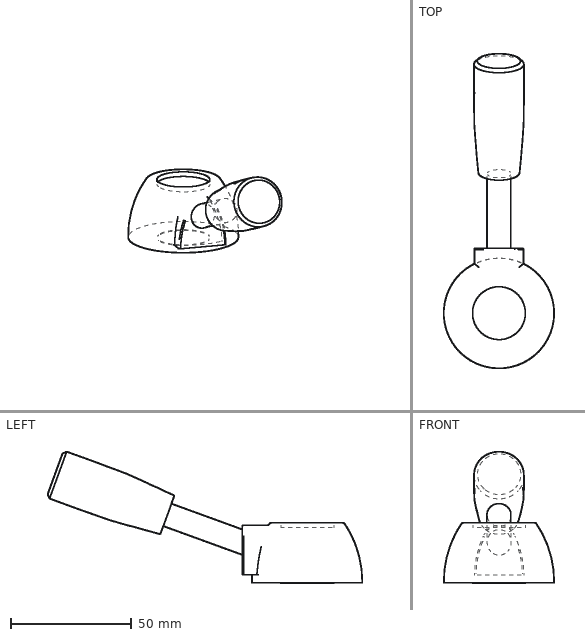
import math

import cadquery as cq

hub_radius = 23.0
hub_height = 25.0
hub_rim_height = 0.4
hub_top_radius = 15.3
hub_top_round = 1.0
foot_radius = 11.0
foot_height = 0.3
pocket_radius = 11.0
pocket_depth = 2.0

neck_face_y = 27.0
neck_bottom_z = 3.3
neck_top_z = 24.0
neck_half_width = 10.25
neck_side_radius = 37.0
neck_shoulder_z = 19.4
neck_edge_round = 0.6
neck_root_round = 0.7

tilt_angle = 20.0
axis_height_at_hub = 7.07
rod_radius = 5.0
grip_start = 61.8
grip_parting = 83.5
grip_end = 111.55
grip_start_radius = 8.6
grip_parting_radius = 10.3
grip_end_radius = 10.4
grip_bulge = 0.1
grip_start_round = 0.6
grip_end_chamfer = 1.4
rod_depth_in_grip = 5.0


def make_hub():
    """Revolve the dome; its flank is an arc that leaves the rim vertically."""
    rise = hub_height - hub_rim_height
    inset = hub_radius - hub_top_radius
    flank_radius = (rise**2 + inset**2) / (2 * inset)
    half_angle = math.asin(rise / flank_radius) / 2
    flank_middle = (
        hub_radius - flank_radius * (1 - math.cos(half_angle)),
        hub_rim_height + flank_radius * math.sin(half_angle),
    )
    profile = (
        cq.Workplane("XZ")
        .lineTo(hub_radius, 0)
        .lineTo(hub_radius, hub_rim_height)
        .threePointArc(flank_middle, (hub_top_radius, hub_height))
        .lineTo(0, hub_height)
        .close()
    )
    return profile.revolve(360, (0, 0, 0), (0, 1, 0))


def make_neck():
    """Extrude the arched outline from the hub axis to the flat outer face."""
    shoulder_rise = neck_shoulder_z - neck_bottom_z
    side_inset = neck_side_radius - math.sqrt(neck_side_radius**2 - shoulder_rise**2)
    half_angle = math.asin(shoulder_rise / neck_side_radius) / 2
    shoulder_x = neck_half_width - side_inset
    middle_x = neck_half_width - neck_side_radius * (1 - math.cos(half_angle))
    middle_z = neck_bottom_z + neck_side_radius * math.sin(half_angle)
    outline = (
        cq.Workplane("XZ")
        .moveTo(-neck_half_width, neck_bottom_z)
        .lineTo(neck_half_width, neck_bottom_z)
        .threePointArc((middle_x, middle_z), (shoulder_x, neck_shoulder_z))
        .threePointArc((0, neck_top_z), (-shoulder_x, neck_shoulder_z))
        .threePointArc((-middle_x, middle_z), (-neck_half_width, neck_bottom_z))
        .close()
    )
    return outline.extrude(-neck_face_y).faces(">Y").edges().fillet(neck_edge_round)


def round_neck_root(body):
    """Fillet the seam where the sides and arch of the neck meet the dome."""
    seam_box = cq.selectors.BoxSelector(
        (-neck_half_width, hub_top_radius / 2, neck_bottom_z + neck_root_round),
        (neck_half_width, hub_radius, neck_top_z),
    )
    return body.edges(seam_box).edges("not(#Z or |Y)").fillet(neck_root_round)


def along_axis(shape):
    """Turn a shape built along Z onto the tilted rod axis."""
    turned = shape.rotate((0, 0, 0), (1, 0, 0), tilt_angle - 90)
    return turned.translate((0, 0, axis_height_at_hub))


def make_rod():
    """Make the rod from inside the neck to a short way inside the grip."""
    start = neck_face_y / 2
    rod = cq.Workplane("XY").workplane(offset=start).circle(rod_radius)
    return along_axis(rod.extrude(grip_start - start + rod_depth_in_grip))


def make_grip():
    """Revolve the grip: a tapered front part and a nearly straight barrel, both slightly bulged."""
    taper_middle = (
        (grip_start_radius + grip_parting_radius) / 2 + grip_bulge,
        (grip_start + grip_parting) / 2,
    )
    barrel_middle = (
        (grip_parting_radius + grip_end_radius) / 2 + grip_bulge,
        (grip_parting + grip_end) / 2,
    )
    profile = (
        cq.Workplane("XZ")
        .moveTo(0, grip_start)
        .lineTo(grip_start_radius, grip_start)
        .threePointArc(taper_middle, (grip_parting_radius, grip_parting))
        .threePointArc(barrel_middle, (grip_end_radius, grip_end))
        .lineTo(0, grip_end)
        .close()
    )
    grip = profile.revolve(360, (0, 0, 0), (0, 1, 0))
    grip = grip.faces("<Z").edges().fillet(grip_start_round)
    return along_axis(grip.faces(">Z").edges().chamfer(grip_end_chamfer))


def make_foot():
    return cq.Workplane("XY").circle(foot_radius).extrude(-foot_height)


def make_pocket():
    """Make the round recess sunk into the flat top of the hub."""
    top = cq.Workplane("XY").workplane(offset=hub_height)
    return top.circle(pocket_radius).extrude(-pocket_depth)


body = make_hub().union(make_neck())
body = round_neck_root(body)
body = body.faces(">Z").edges().fillet(hub_top_round)
body = body.union(make_foot()).cut(make_pocket())
result = body.union(make_rod()).union(make_grip())